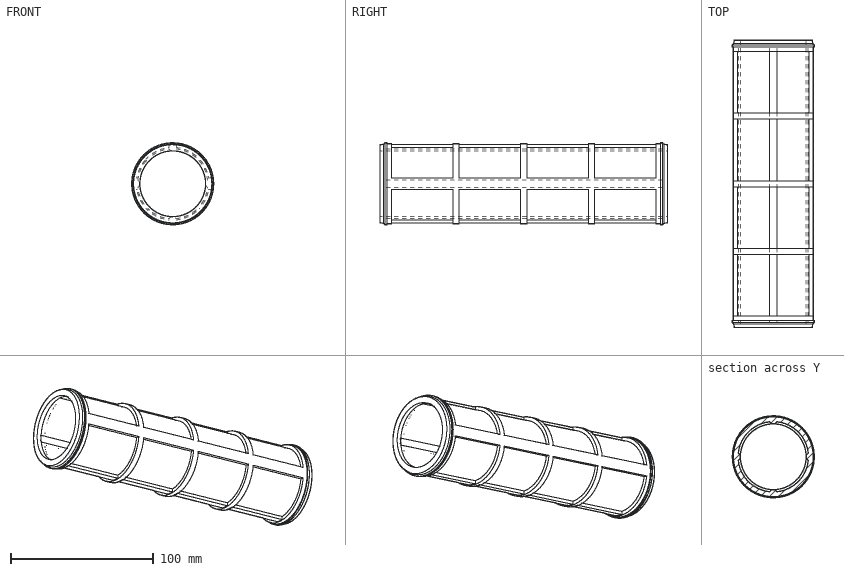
import cadquery as cq

length = 202.0
bore_radius = 46.0 / 2
screen_radius = 51.0 / 2
frame_radius = 56.3 / 2
flange_radius = 57.8 / 2
cavity_radius = 24.6

nose_radius = 27.9
nose_tip_radius = 27.5
lip_length = 3.5
flange_start = 2.6
flange_end = 4.8
flange_chamfer = 0.8
collar_length = 8.0

hoop_count = 3
hoop_width = 4.2
side_rail_width = 7.9
flat_rail_width = 5.5
flat_rail_height = 27.7

rib_radius = 2.8

half_length = length / 2
cavity_length = length - 2 * lip_length
frame_length = length - 2 * collar_length
bay_length = (frame_length - hoop_count * hoop_width) / (hoop_count + 1)
hoop_pitch = bay_length + hoop_width


def cylinder(radius, height, center_y=0.0):
    """Solid cylinder along Y, centred at center_y."""
    start = cq.Workplane("XZ", origin=(0, center_y + height / 2, 0))
    return start.circle(radius).extrude(height)


def end_collar():
    """Solid collar at the -Y end, with a tapered nose and a thin flange."""
    stations = [
        (0, 0),
        (nose_tip_radius, 0),
        (nose_radius, flange_start),
        (flange_radius, flange_start + flange_chamfer),
        (flange_radius, flange_end),
        (frame_radius, flange_end),
        (frame_radius, collar_length),
        (0, collar_length),
    ]
    profile = [(radius, depth - half_length) for radius, depth in stations]
    return cq.Workplane("XY").polyline(profile).close().revolve(360, (0, 0, 0), (0, 1, 0))


def hoops():
    """Raised hoops evenly spaced between the two collars."""
    rings = cq.Workplane("XY")
    for index in range(hoop_count):
        center_y = (index - (hoop_count - 1) / 2) * hoop_pitch
        rings = rings.union(cylinder(frame_radius, hoop_width, center_y))
    return rings


def side_rails():
    """Rails at -X and +X, flush with the hoops and running into the collars."""
    rail_length = length - 2 * flange_end
    bar = cq.Workplane("XY").box(2 * flange_radius, rail_length, side_rail_width)
    return bar.intersect(cylinder(frame_radius, rail_length))


def flat_rails():
    """Flat-topped rails at -Z and +Z, slightly lower than the hoops."""
    return cq.Workplane("XY").box(flat_rail_width, frame_length, 2 * flat_rail_height)


def cavity():
    """Inner space behind the end lips, less the four half-round ribs."""
    space = cylinder(cavity_radius, cavity_length)
    rib_offset = bore_radius + rib_radius
    ribs = (
        cq.Workplane("XZ", origin=(0, cavity_length / 2, 0))
        .polarArray(rib_offset, 0, 360, 4)
        .circle(rib_radius)
        .extrude(cavity_length)
    )
    return space.cut(ribs)


collar = end_collar()
body = cylinder(screen_radius, frame_length)
body = body.union(side_rails()).union(flat_rails()).union(hoops())
body = body.union(collar).union(collar.mirror("XZ"))
result = body.cut(cylinder(bore_radius, length)).cut(cavity())